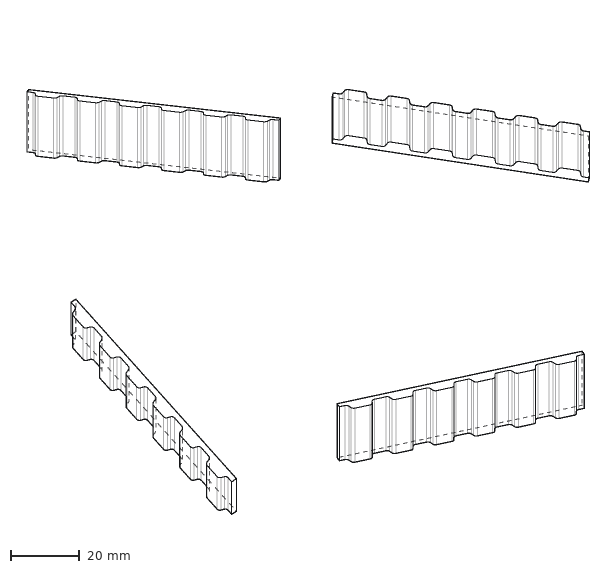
import cadquery as cq
import math

length = 76.2
width = 19.05
total_thickness = 4.05
tooth_count = 6
tooth_height = 2.3
tooth_tip_width = 6.1
flank_angle = 20.0
corner_radius = 1.0

pitch = length / tooth_count
backing_thickness = total_thickness - tooth_height
flank_run = tooth_height * math.tan(math.radians(flank_angle))
tip_half_width = tooth_tip_width / 2
root_half_width = tip_half_width + flank_run

back_y = total_thickness / 2
root_y = back_y - backing_thickness
tip_y = -total_thickness / 2


def tooth_points(center_x):
    """Sharp corners of one tooth, from its left root to its right root."""
    return [
        (center_x - root_half_width, root_y),
        (center_x - tip_half_width, tip_y),
        (center_x + tip_half_width, tip_y),
        (center_x + root_half_width, root_y),
    ]


def belt_outline():
    """Closed outline of the backing and all its teeth."""
    points = [(-length / 2, back_y), (-length / 2, root_y)]
    for index in range(tooth_count):
        points += tooth_points(-length / 2 + (index + 0.5) * pitch)
    points += [(length / 2, root_y), (length / 2, back_y)]
    return points


belt = cq.Workplane("XY").polyline(belt_outline()).close().extrude(width / 2, both=True)

edge_margin = pitch / 20
tooth_zone = cq.selectors.BoxSelector(
    (-length / 2 + edge_margin, -total_thickness, -width),
    (length / 2 - edge_margin, total_thickness, width),
)
result = belt.edges("|Z").edges(tooth_zone).fillet(corner_radius)